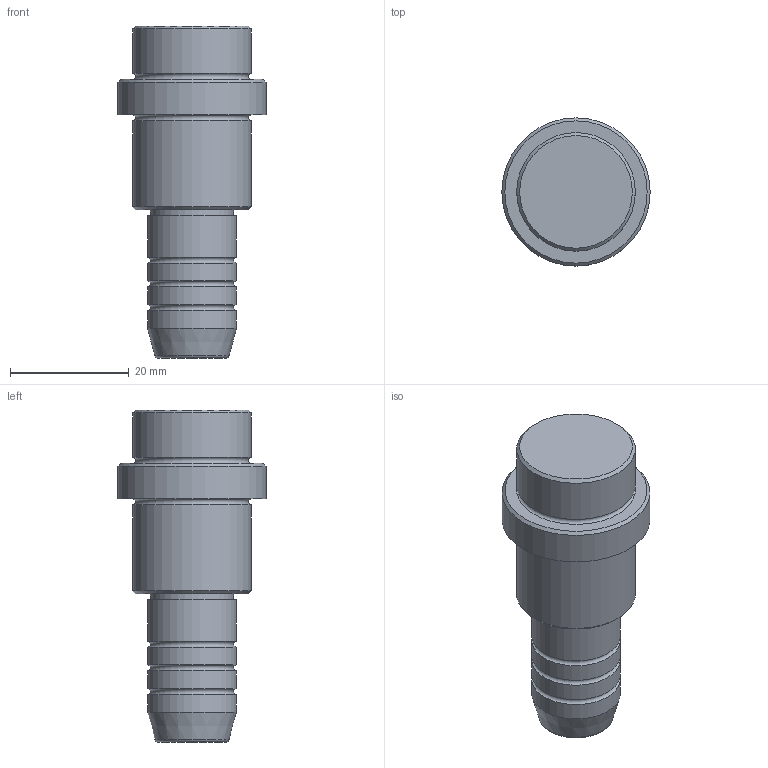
import cadquery as cq
import math

HEAD_RADIUS = 10.0
FLANGE_RADIUS = 12.5
SHANK_RADIUS = 7.5

TOTAL_HEIGHT = 56.0
FLANGE_TOP = 47.0
FLANGE_BOTTOM = 41.0
BODY_BOTTOM = 25.0
SHANK_TOP = 24.0
TAPER_TOP = 5.0

CHAMFER = 0.5
GROOVE_DEPTH = 0.5
GROOVE_WIDTH = 2 * GROOVE_DEPTH
TIP_FILLET = 0.5
TAPER_ANGLE = 15.0
GROOVE_COUNT = 3
GROOVE_PITCH = 4.0
LOWEST_GROOVE = 8.0


def cylinder(radius, bottom, top):
    """Cylinder on the Z axis between two heights."""
    return cq.Workplane("XY").workplane(offset=bottom).circle(radius).extrude(top - bottom)


def round_groove(radius, bottom):
    """Half-round ring that cuts a groove into a cylinder of the given radius."""
    root = (radius - GROOVE_DEPTH, bottom + GROOVE_DEPTH)
    section = cq.Workplane("XZ").moveTo(radius, bottom)
    section = section.threePointArc(root, (radius, bottom + GROOVE_WIDTH)).close()
    return section.revolve(360, (0, 0), (0, 1))


def make_head():
    """Top head with a chamfered rim and a relief groove above the flange."""
    head = cylinder(HEAD_RADIUS, FLANGE_TOP, TOTAL_HEIGHT).faces(">Z").chamfer(CHAMFER)
    return head.cut(round_groove(HEAD_RADIUS, FLANGE_TOP))


def make_flange():
    """Collar with a chamfer on its upper rim only."""
    return cylinder(FLANGE_RADIUS, FLANGE_BOTTOM, FLANGE_TOP).faces(">Z").chamfer(CHAMFER)


def make_body():
    """Main body with a relief groove below the flange and a chamfered lower rim."""
    body = cylinder(HEAD_RADIUS, BODY_BOTTOM, FLANGE_BOTTOM).faces("<Z").chamfer(CHAMFER)
    return body.cut(round_groove(HEAD_RADIUS, FLANGE_BOTTOM - GROOVE_WIDTH))


def make_neck():
    """Square undercut between the body and the shank."""
    return cylinder(SHANK_RADIUS - GROOVE_DEPTH, SHANK_TOP, BODY_BOTTOM)


def make_shank():
    """Grooved hose shank with a conical tip that has a rounded end."""
    tip_radius = SHANK_RADIUS - TAPER_TOP * math.tan(math.radians(TAPER_ANGLE))
    outline = [
        (0, 0),
        (tip_radius, 0),
        (SHANK_RADIUS, TAPER_TOP),
        (SHANK_RADIUS, SHANK_TOP),
        (0, SHANK_TOP),
    ]
    shank = cq.Workplane("XZ").polyline(outline).close().revolve(360, (0, 0), (0, 1))
    shank = shank.faces("<Z").edges().fillet(TIP_FILLET)
    for index in range(GROOVE_COUNT):
        shank = shank.cut(round_groove(SHANK_RADIUS, LOWEST_GROOVE + index * GROOVE_PITCH))
    return shank


result = make_shank()
for section in (make_neck(), make_body(), make_flange(), make_head()):
    result = result.union(section)